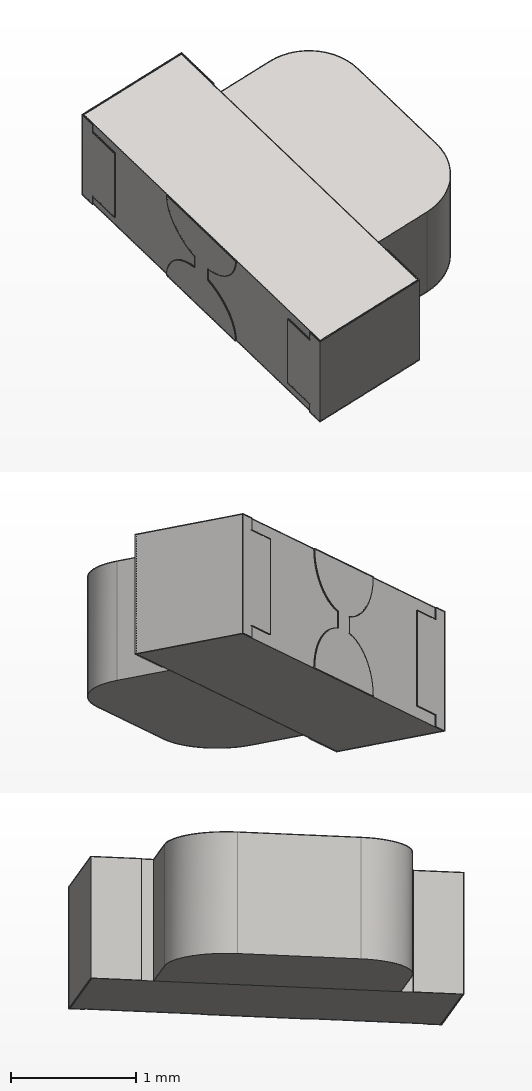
import cadquery as cq
import math


height = 1.0
base_length = 3.0
base_depth = 1.0
lens_width = 2.0
lens_depth = 1.0
lens_corner_radius = 0.5

plating = 0.01
terminal_reach = 0.4
notch_height = 0.1
notch_length = 0.28

mark_radius = 0.438
neck_width = 0.17

half_height = height / 2
half_length = base_length / 2


def block(x_range, y_range, z_range):
    """Box between the given limits on each axis."""
    size = [high - low for low, high in (x_range, y_range, z_range)]
    corner = (x_range[0], y_range[0], z_range[0])
    return cq.Workplane("XY").box(*size, centered=False).translate(corner)


def make_base():
    """Plain rectangular block behind the lens."""
    return block((-half_length, half_length), (-base_depth, 0), (-half_height, half_height))


def make_lens():
    """Lens with its two outer corners rounded."""
    lens = block((-lens_width / 2, lens_width / 2), (0, lens_depth), (-half_height, half_height))
    return lens.edges("|Z and >Y").fillet(lens_corner_radius)


def make_terminal(side):
    """C-shaped terminal around one end of the base; side is -1 for -X and +1 for +X."""
    inner_x = half_length - terminal_reach
    outer_x = half_length + plating
    full_z = (-half_height, half_height)
    wrap = block((inner_x, outer_x), (-base_depth - plating, plating), full_z)
    wrap = wrap.cut(block((inner_x, half_length), (-base_depth, 0), full_z))

    notch_x = (inner_x, inner_x + notch_length)
    notch_y = (-base_depth - plating, -base_depth)
    for notch_z in (
        (-half_height, -half_height + notch_height),
        (half_height - notch_height, half_height),
    ):
        wrap = wrap.cut(block(notch_x, notch_y, notch_z))

    return wrap if side > 0 else wrap.mirror("YZ")


def make_mark():
    """Polarity mark on the -Y face: half discs on the top and bottom edges, joined by a neck."""
    neck_x = neck_width / 2
    neck_z = half_height - math.sqrt(mark_radius**2 - neck_x**2)
    arc_x = mark_radius * math.cos(math.pi / 4)
    arc_z = half_height - mark_radius * math.sin(math.pi / 4)
    return (
        cq.Workplane("XZ", origin=(0, -base_depth, 0))
        .moveTo(-mark_radius, half_height)
        .lineTo(mark_radius, half_height)
        .threePointArc((arc_x, arc_z), (neck_x, neck_z))
        .lineTo(neck_x, -neck_z)
        .threePointArc((arc_x, -arc_z), (mark_radius, -half_height))
        .lineTo(-mark_radius, -half_height)
        .threePointArc((-arc_x, -arc_z), (-neck_x, -neck_z))
        .lineTo(-neck_x, neck_z)
        .threePointArc((-arc_x, arc_z), (-mark_radius, half_height))
        .close()
        .extrude(plating)
    )


base = make_base()
lens = make_lens()
terminals = [make_terminal(side) for side in (-1, 1)]
mark = make_mark()

result = cq.Compound.makeCompound(
    [base.val(), lens.val(), *[terminal.val() for terminal in terminals], mark.val()]
)